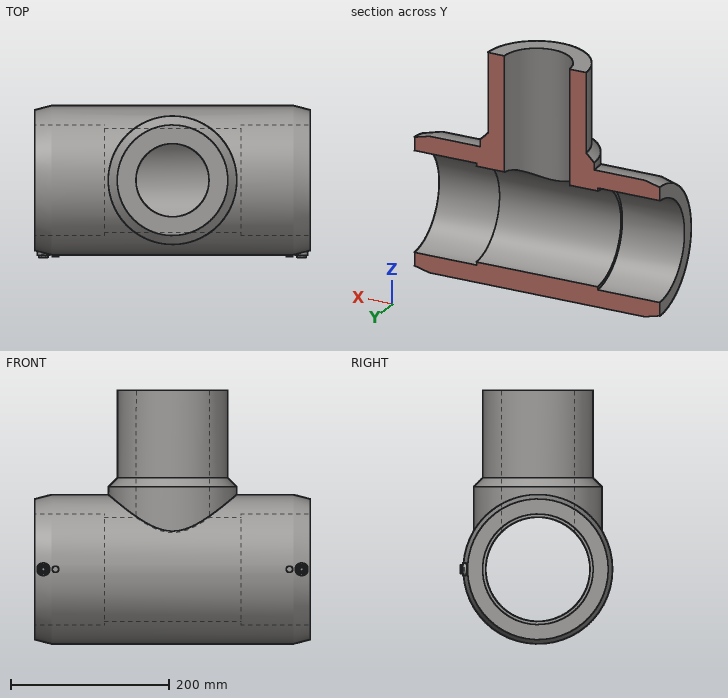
import cadquery as cq

body_length = 349.0
body_diameter = 189.0
end_diameter = 178.0
end_taper_length = 21.5
bore_diameter = 131.5
socket_diameter = 140.0
socket_depth = 88.3

branch_top = 226.5
branch_diameter = 140.0
branch_bore_diameter = 92.5
collar_diameter = 162.5
collar_edge_height = 104.5
collar_top = collar_edge_height + (collar_diameter - branch_diameter) / 2

terminal_inset = 11.0
terminal_diameter = 16.0
terminal_ledge = 0.5
head_diameter = 12.0
head_face_diameter = 10.0
head_rise = 3.5
head_bevel = (head_diameter - head_face_diameter) / 2
recess_diameter = 8.0
recess_depth = 1.5
contact_hole_diameter = 5.0
contact_hole_depth = 5.2
indicator_inset = 26.5
indicator_diameter = 8.0
indicator_rise = 2.0
root_depth = 10.5

body_radius = body_diameter / 2
half_length = body_length / 2


def x_cylinder(diameter, x_start, length):
    """Cylinder on the pipe axis."""
    return cq.Workplane("YZ", origin=(x_start, 0, 0)).circle(diameter / 2).extrude(length)


def z_cylinder(diameter, height):
    """Cylinder rising from the pipe axis along the branch."""
    return cq.Workplane("XY").circle(diameter / 2).extrude(height)


def side_cylinder(x, diameter, inner_rise, outer_rise):
    """Cylinder pointing to -Y; rises are measured from the pipe surface."""
    plane = cq.Workplane("XZ", origin=(x, -body_radius - inner_rise, 0))
    return plane.circle(diameter / 2).extrude(outer_rise - inner_rise)


def make_body():
    """Solid pipe with tapered ends."""
    shoulder = half_length - end_taper_length
    profile = [
        (-half_length, 0),
        (-half_length, end_diameter / 2),
        (-shoulder, body_radius),
        (shoulder, body_radius),
        (half_length, end_diameter / 2),
        (half_length, 0),
    ]
    return cq.Workplane("XY").polyline(profile).close().revolve(360, (0, 0, 0), (1, 0, 0))


def make_branch():
    """Solid spigot standing on a bevelled collar."""
    bevel = collar_top - collar_edge_height
    collar = z_cylinder(collar_diameter, collar_top).faces(">Z").chamfer(bevel)
    return z_cylinder(branch_diameter, branch_top).union(collar)


def make_terminal(x):
    """Stepped terminal with a bevelled head and a stepped contact hole."""
    base = side_cylinder(x, terminal_diameter, -root_depth, terminal_ledge)
    head = side_cylinder(x, head_diameter, -root_depth, head_rise).faces("<Y").chamfer(head_bevel)
    recess = side_cylinder(x, recess_diameter, head_rise - recess_depth, head_rise)
    hole = side_cylinder(x, contact_hole_diameter, head_rise - contact_hole_depth, head_rise)
    return base.union(head).cut(recess).cut(hole)


def make_indicator(x):
    """Plain round fusion indicator pin."""
    return side_cylinder(x, indicator_diameter, -root_depth, indicator_rise)


result = make_body().union(make_branch())
result = result.cut(x_cylinder(bore_diameter, -half_length, body_length))
result = result.cut(x_cylinder(socket_diameter, -half_length, socket_depth))
result = result.cut(x_cylinder(socket_diameter, half_length - socket_depth, socket_depth))
result = result.cut(z_cylinder(branch_bore_diameter, branch_top))

for side in (-1, 1):
    terminal_x = side * (half_length - terminal_inset)
    result = result.cut(side_cylinder(terminal_x, terminal_diameter, -root_depth, 0))
    result = result.union(make_terminal(terminal_x))
    result = result.union(make_indicator(side * (half_length - indicator_inset)))